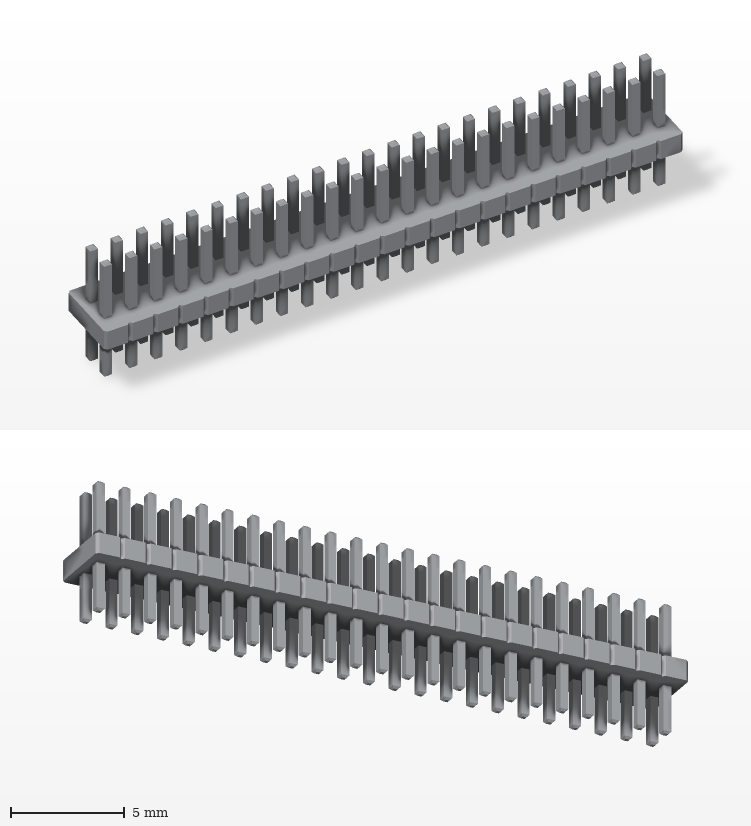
import cadquery as cq

pitch = 1.27
row_count = 2
pins_per_row = 23

body_width = 3.4
body_height = 1.0
corner_cut = pitch / 10

pin_side = 0.4
pin_above_body = 3.0
pin_below_body = 2.3
pin_tip_cut = 0.1

pin_length = pin_below_body + body_height + pin_above_body


def row_positions(count):
    """Coordinates of evenly pitched items centred on zero."""
    return [(index - (count - 1) / 2) * pitch for index in range(count)]


def body_segment(y):
    """One strip segment with four chamfered vertical edges."""
    return (
        cq.Workplane("XY")
        .box(body_width, pitch, body_height, centered=(True, True, False))
        .edges("|Z")
        .chamfer(corner_cut)
        .translate((0, y, 0))
    )


def make_body():
    """Strip of joined segments; their chamfers form V notches on both long sides."""
    first_y, *other_ys = row_positions(pins_per_row)
    body = body_segment(first_y)
    for y in other_ys:
        body = body.union(body_segment(y))
    return body.clean()


def make_pins():
    """All square pins, chamfered around both ends."""
    pin = (
        cq.Workplane("XY")
        .box(pin_side, pin_side, pin_length, centered=(True, True, False))
        .faces("<Z or >Z")
        .edges()
        .chamfer(pin_tip_cut)
        .translate((0, 0, -pin_below_body))
        .val()
    )
    locations = [
        cq.Location(cq.Vector(x, y, 0))
        for x in row_positions(row_count)
        for y in row_positions(pins_per_row)
    ]
    return cq.Workplane("XY").newObject([pin.moved(location) for location in locations]).combine()


result = make_body().union(make_pins())